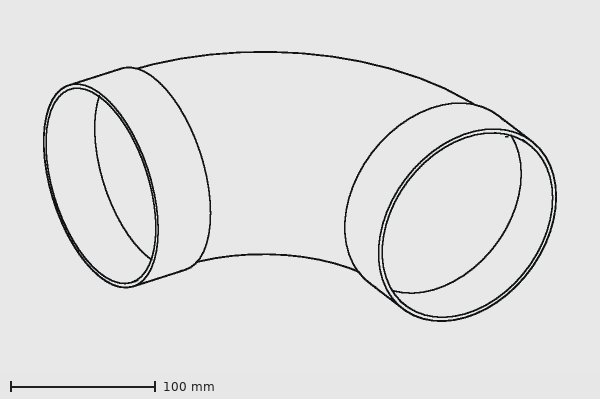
import cadquery as cq
import math

socket_outer_diameter = 146.0
pipe_outer_diameter = 140.0
wall = 3.0
bend_radius = 140.0
socket_length = 43.0
bend_angle = 90.0
full_turn = 360.0

socket_bore_diameter = socket_outer_diameter - 2 * wall
pipe_bore_diameter = pipe_outer_diameter - 2 * wall

stop_round_radius = (socket_bore_diameter - pipe_bore_diameter) / 2

inlet_plane = cq.Plane(origin=(-bend_radius, 0, 0), xDir=(1, 0, 0), normal=(0, -1, 0))
outlet_plane = cq.Plane(origin=(0, bend_radius, 0), xDir=(0, 1, 0), normal=(1, 0, 0))


def bend(diameter):
    """Solid quarter torus joining the two end planes."""
    return (
        cq.Workplane(inlet_plane)
        .circle(diameter / 2)
        .revolve(bend_angle, (bend_radius, 0, 0), (bend_radius, -1, 0))
    )


def end_cylinder(plane, diameter, start=0.0):
    """Solid cylinder from start, measured outward from an end of the bend, to the socket mouth."""
    return (
        cq.Workplane(plane)
        .workplane(offset=start)
        .circle(diameter / 2)
        .extrude(socket_length - start)
    )


def rounded_stop_opening(plane):
    """Bore through the pipe stop, flaring out as a quarter round to the socket bore."""
    bore_radius = pipe_bore_diameter / 2
    mid_offset = stop_round_radius * math.cos(math.radians(45))
    round_center_radius = bore_radius + stop_round_radius
    profile_plane = cq.Plane(
        origin=plane.origin,
        xDir=plane.xDir,
        normal=plane.xDir.cross(plane.zDir),
    )
    return (
        cq.Workplane(profile_plane)
        .lineTo(bore_radius, 0)
        .threePointArc(
            (round_center_radius - mid_offset, mid_offset),
            (round_center_radius, stop_round_radius),
        )
        .lineTo(0, stop_round_radius)
        .close()
        .revolve(full_turn, (0, 0, 0), (0, 1, 0))
    )


def elbow_body():
    """Outer shape: bend with a larger cylinder at each end."""
    body = bend(pipe_outer_diameter)
    for plane in (inlet_plane, outlet_plane):
        body = body.union(end_cylinder(plane, socket_outer_diameter))
    return body


def elbow_passage():
    """Inner shape: bend bore, rounded pipe stops and the wider socket bores."""
    passage = bend(pipe_bore_diameter)
    for plane in (inlet_plane, outlet_plane):
        passage = passage.union(rounded_stop_opening(plane))
        passage = passage.union(end_cylinder(plane, socket_bore_diameter, stop_round_radius))
    return passage


result = elbow_body().cut(elbow_passage())